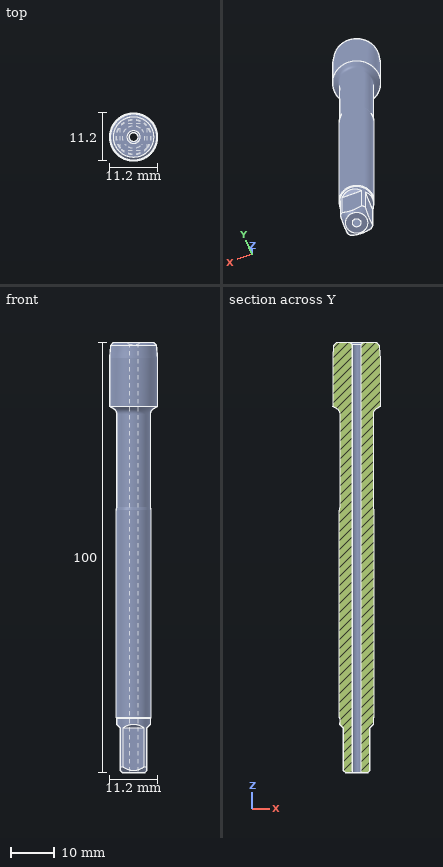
import cadquery as cq
import math

length = 100.0
relief_top = 12.6
shank_bottom = 12.9
joint_bottom = 61.0
joint_top = 61.7
head_bottom = 85.1
head_taper_start = 96.3
top_chamfer_height = 0.7
neck_fillet_radius = 1.4
head_cone_half_angle = 60

head_diameter = 11.2
taper_top_diameter = 10.7
top_face_diameter = 9.4
shank_diameter = 8.2
neck_diameter = 7.9
relief_diameter = 7.9

across_flats = 6.2
flat_top = 10.4
tip_diameter = 5.2

bore_diameter = 2.0
bore_mouth_diameter = 3.0


def make_body():
    """Revolve the stepped outline about Z."""
    head_r = head_diameter / 2
    shank_r = shank_diameter / 2
    neck_r = neck_diameter / 2
    relief_r = relief_diameter / 2
    tip_r = tip_diameter / 2

    blend_angle = math.radians(head_cone_half_angle)
    blend_rise = neck_fillet_radius * math.sin(blend_angle)
    blend_center_r = neck_r + neck_fillet_radius
    blend_end_r = blend_center_r - neck_fillet_radius * math.cos(blend_angle)
    blend_end_z = head_bottom - (head_r - blend_end_r) / math.tan(blend_angle)
    neck_top = blend_end_z - blend_rise
    blend_mid = (
        blend_center_r - neck_fillet_radius * math.cos(blend_angle / 2),
        neck_top + neck_fillet_radius * math.sin(blend_angle / 2),
    )

    lower_outline = [
        (0, 0),
        (tip_r, 0),
        (relief_r, relief_r - tip_r),
        (relief_r, relief_top),
        (shank_r, shank_bottom),
        (shank_r, joint_bottom),
        (neck_r, joint_top),
        (neck_r, neck_top),
    ]
    upper_outline = [
        (blend_end_r, blend_end_z),
        (head_r, head_bottom),
        (head_r, head_taper_start),
        (taper_top_diameter / 2, length - top_chamfer_height),
        (top_face_diameter / 2, length),
        (0, length),
    ]
    outline = cq.Workplane("XZ").polyline(lower_outline)
    outline = outline.threePointArc(blend_mid, upper_outline[0])
    outline = outline.polyline(upper_outline[1:], includeCurrent=True)
    return outline.close().revolve(360, (0, 0, 0), (0, 1, 0))


def make_flat_cutter():
    """Remove one side of the drive, ending in a 45 degree run-out."""
    inner = across_flats / 2
    outer = shank_diameter
    profile = [
        (inner, 0),
        (outer, 0),
        (outer, flat_top + outer - inner),
        (inner, flat_top),
    ]
    return cq.Workplane("XZ").polyline(profile).close().extrude(shank_diameter, both=True)


def make_bore():
    """Through bore with a 45 degree countersink at the head."""
    bore_r = bore_diameter / 2
    mouth_r = bore_mouth_diameter / 2
    profile = [
        (0, 0),
        (bore_r, 0),
        (bore_r, length - (mouth_r - bore_r)),
        (mouth_r, length),
        (0, length),
    ]
    return cq.Workplane("XZ").polyline(profile).close().revolve(360, (0, 0, 0), (0, 1, 0))


result = make_body().cut(make_bore())
for angle in (0, 90, 180, 270):
    result = result.cut(make_flat_cutter().rotate((0, 0, 0), (0, 0, 1), angle))